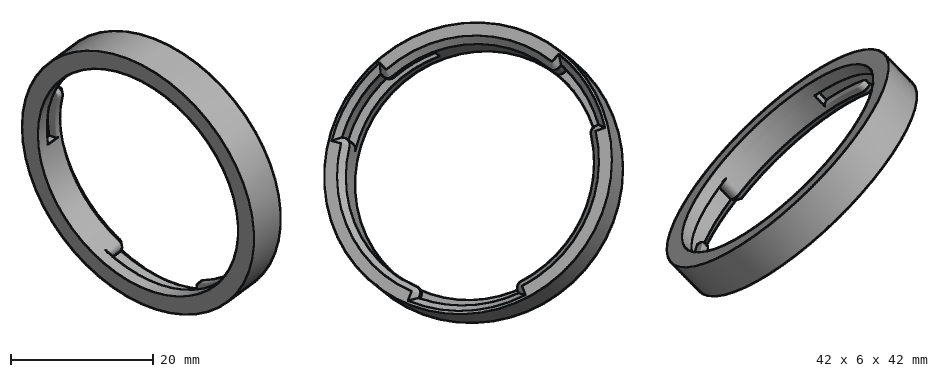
import cadquery as cq
import math


outer_radius = 21.0
bore_radius = 18.1
floor_radius = 19.55
width = 6.0
lip_width = width / 3
lug_width = width / 3
corner_radius = 1.05
lug_edge_radius = 0.2
back_chamfer = 1.0

block_end = 17.2
slot_end = -42.5
lug_end = -67.5

wide_spacing = 128.5
bayonet_turns = (0, wide_spacing, (wide_spacing + 360) / 2)

front = -width / 2
back = width / 2
slot_front = front + lip_width
lug_front = back - lug_width


def at_angle(radius, angle):
    """Point of the XZ plane at a radius and an angle in degrees."""
    turn = math.radians(angle)
    return (radius * math.cos(turn), radius * math.sin(turn))


def ring(inner_radius, y_start, y_stop):
    """Plain ring reaching the outer surface between two Y positions, its seam on -X."""
    plane = cq.Plane(origin=(0, y_stop, 0), xDir=(-1, 0, 0), normal=(0, -1, 0))
    circles = cq.Workplane(plane).circle(outer_radius).circle(inner_radius)
    return circles.extrude(y_stop - y_start)


def sector(start, stop, y_start, y_stop):
    """Piece of the bore lining from one angle to another, sunk into the band."""
    middle = (start + stop) / 2
    root_radius = (floor_radius + outer_radius) / 2
    plane = cq.Workplane("XZ", origin=(0, y_stop, 0))
    return (
        plane.moveTo(*at_angle(bore_radius, start))
        .threePointArc(at_angle(bore_radius, middle), at_angle(bore_radius, stop))
        .lineTo(*at_angle(root_radius, stop))
        .threePointArc(at_angle(root_radius, middle), at_angle(root_radius, start))
        .close()
        .extrude(y_stop - y_start)
    )


def nearest_on_bore(angle, y):
    """Selector for the edge closest to a point of the bore."""
    x, z = at_angle(bore_radius, angle)
    return cq.selectors.NearestToPointSelector((x, y, z))


def round_end(body, angle):
    """Round the bore-side corner that runs along Y at an angle."""
    return body.edges("|Y").edges(nearest_on_bore(angle, 0)).fillet(corner_radius)


def bayonet(turn):
    """One block with its lug, both rounded at their free ends, set at a clockwise turn."""
    block_tip = block_end - turn
    shoulder = slot_end - turn
    lug_tip = lug_end - turn
    block = sector(shoulder, block_tip, slot_front, back)
    block = round_end(block, block_tip)
    lug = sector(lug_tip, shoulder, lug_front, back)
    lug = round_end(lug, lug_tip)
    lug_middle = (lug_tip + shoulder) / 2
    lug = lug.edges(nearest_on_bore(lug_middle, lug_front)).fillet(lug_edge_radius)
    return block.union(lug)


band = ring(floor_radius, front, back)
lip = ring(bore_radius, front, slot_front)
body = band.union(lip)

for turn in bayonet_turns:
    body = body.union(bayonet(turn))

back_opening = body.faces(">Y").val().innerWires()[0]
result = body.newObject(back_opening.Edges()).chamfer(back_chamfer)